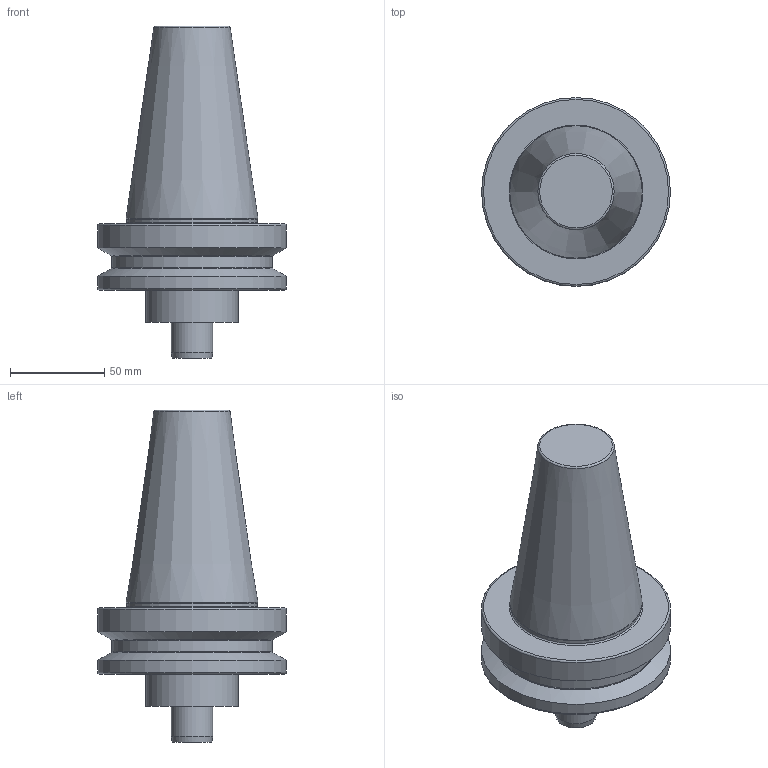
import cadquery as cq
import math

TAPER_LENGTH = 101.8
GAUGE_DIAMETER = 69.85
TAPER_RATIO = 7 / 24
TAPER_TIP_ROUND = 1.0

NECK_LENGTH = 3.0
NECK_DIAMETER = 69.35
NECK_RELIEF_LENGTH = 0.5
NECK_FOOT_ROUND = 0.75

FLANGE_DIAMETER = 99.96
FLANGE_THICKNESS = 35.0
FLANGE_EDGE_ROUND = 1.0
GROOVE_DIAMETER = 85.0
GROOVE_FLOOR_WIDTH = 6.5
GROOVE_CENTRE_DEPTH = 20.2
GROOVE_WALL_ANGLE = 30.0
GROOVE_CORNER_ROUND = 0.5

BOSS_DIAMETER = 48.8
BOSS_LENGTH = 17.0
PIN_DIAMETER = 22.0
PIN_LENGTH = 19.0
PIN_TIP_LENGTH = 3.0
PIN_TIP_INSET = 0.5

FLANGE_TOP = -NECK_LENGTH
FLANGE_BOTTOM = FLANGE_TOP - FLANGE_THICKNESS
BOSS_BOTTOM = FLANGE_BOTTOM - BOSS_LENGTH
PIN_BOTTOM = BOSS_BOTTOM - PIN_LENGTH


def revolve_outline(points):
    """Turn a closed outline of (radius, height) points about the Z axis."""
    return cq.Workplane("XZ").polyline(points).close().revolve(360, (0, 0, 0), (0, 1, 0))


def make_cylinder(diameter, top, bottom):
    return cq.Workplane("XY").workplane(offset=bottom).circle(diameter / 2).extrude(top - bottom)


def make_taper():
    gauge_radius = GAUGE_DIAMETER / 2
    tip_radius = gauge_radius - TAPER_LENGTH * TAPER_RATIO / 2
    taper = revolve_outline([
        (0, 0),
        (gauge_radius, 0),
        (tip_radius, TAPER_LENGTH),
        (0, TAPER_LENGTH),
    ])
    return taper.faces(">Z").edges().fillet(TAPER_TIP_ROUND)


def make_neck():
    gauge_radius = GAUGE_DIAMETER / 2
    neck_radius = NECK_DIAMETER / 2
    return revolve_outline([
        (0, 0),
        (gauge_radius, 0),
        (neck_radius, -NECK_RELIEF_LENGTH),
        (neck_radius, FLANGE_TOP),
        (0, FLANGE_TOP),
    ])


def round_neck_foot(body):
    """Blend the foot of the neck into the flange's upper face."""
    reach = (NECK_DIAMETER + FLANGE_DIAMETER) / 4
    margin = NECK_FOOT_ROUND / 2
    foot_edge = cq.selectors.BoxSelector(
        (-reach, -reach, FLANGE_TOP - margin),
        (reach, reach, FLANGE_TOP + margin),
        boundingbox=True,
    )
    return body.edges(foot_edge).fillet(NECK_FOOT_ROUND)


def make_groove():
    """Ring of material removed from the flange rim."""
    floor_radius = GROOVE_DIAMETER / 2
    rim_radius = FLANGE_DIAMETER / 2
    centre = FLANGE_TOP - GROOVE_CENTRE_DEPTH
    floor_half_width = GROOVE_FLOOR_WIDTH / 2
    wall_rise = (rim_radius - floor_radius) * math.tan(math.radians(GROOVE_WALL_ANGLE))
    mouth_half_width = floor_half_width + wall_rise
    groove = revolve_outline([
        (floor_radius, centre - floor_half_width),
        (rim_radius, centre - mouth_half_width),
        (rim_radius, centre + mouth_half_width),
        (floor_radius, centre + floor_half_width),
    ])
    corner_edges = groove.edges(cq.selectors.RadiusNthSelector(0))
    return corner_edges.fillet(GROOVE_CORNER_ROUND)


def make_flange():
    flange = make_cylinder(FLANGE_DIAMETER, FLANGE_TOP, FLANGE_BOTTOM)
    flange = flange.edges("%CIRCLE").fillet(FLANGE_EDGE_ROUND)
    return flange.cut(make_groove())


def make_pin():
    pin = make_cylinder(PIN_DIAMETER, BOSS_BOTTOM, PIN_BOTTOM)
    return pin.faces("<Z").edges().chamfer(PIN_TIP_LENGTH, PIN_TIP_INSET)


boss = make_cylinder(BOSS_DIAMETER, FLANGE_BOTTOM, BOSS_BOTTOM)

upper_body = round_neck_foot(make_taper().union(make_neck()).union(make_flange()))
result = upper_body.union(boss).union(make_pin())